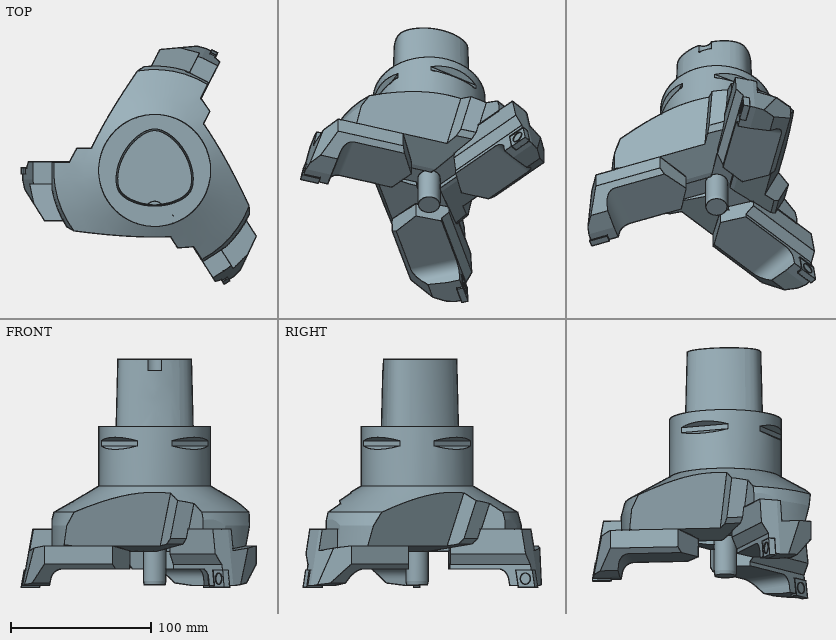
import cadquery as cq
import math

ARM_TURNS = (0.0, 122.6, 243.0)
FAR = 136.3

SHANK_BASE_Z = 115.0
SHANK_TOP_Z = 163.0
SHANK_BASE_RADIUS = 27.6
SHANK_TAPER = 0.025
LOBE_OFFSET = 2.0
LOBE_HALF_ANGLE = 32.0
LOBE_SPANS = 6
KEYWAY_RADIUS = 6.3
KEYWAY_Y = -28.3
KEYWAY_DEPTH = 8.0

FLANGE_RADIUS = 40.0
FLANGE_BASE_Z = 72.4
GROOVE_Z = 102.9
GROOVE_DISTANCE = 35.6
GROOVE_FLOOR_WIDTH = 3.5
GROOVE_SIDE_ANGLE = 30.0

SHOULDER_RADIUS = 72.0
SHOULDER_Z = 53.7
RIM_RADIUS = 74.6
RIM_Z = 44.0
SKIRT_RADIUS = 74.0
HUB_BASE_Z = 25.7
FLOOR_Z = 29.6
ARM_END_FLAT = 73.5

TRAILING_Y = -36.0
TRAILING_LEAN = math.tan(math.radians(17.0))
HUB_FLOOR_SLOPE = 0.17
STEP_OFFSET = 9.9
STEP_TURN = 121.5
STEP_CHAMFER_Z = 34.8
HUB_SIDE_Y = 16.0
NOTCH_Y = 5.8

PIN_DIAMETER = 16.0
PIN_BASE_Z = 1.7
PIN_CHAMFER_HEIGHT = 2.5
PIN_CHAMFER_WIDTH = 0.5

LEADING_Y = 6.3
RAIL_TOP_Z = 41.5
RAIL_BACK_Y = -9.5
LEDGE_SLOPE = 0.13
RELIEF_TOP_Z = 24.0
RELIEF_BASE_Z = 16.2
RELIEF_Y = 1.5
UNDERSIDE_Y = -22.0
UNDERSIDE_Z = 3.0
TOE_Z = 1.2
BEVEL_TOP_Z = 16.7
END_TOP_REACH = 87.0
END_LEAN = 0.18
END_CORNER_Y = -6.6
END_RELIEF = 0.19
CORNER_REACH = 78.7
CORNER_BEVEL = 0.63
INNER_SHOULDER = 30.2
INNER_TIP = 17.7
ARCH_TOP_Z = 13.1
ARCH_WALL = 75.3
ARCH_WALL_LEAN = 0.2
ARCH_RADIUS = 8.5

INSERT_FRONT_Y = 2.0
INSERT_THICKNESS = 4.8
INSERT_HEIGHT = 12.5
INSERT_WIDTH = 13.3
INSERT_TIP_REACH = 95.4
INSERT_LEAN = 0.17
SCREW_DIAMETER = 8.0


def turned(shape, angle):
    return shape.rotate((0, 0, 0), (0, 0, 1), angle)


def lobe_point(radius, degrees):
    """Point of the lobed outline whose outward normal has the given direction."""
    a = math.radians(degrees)
    support = radius - LOBE_OFFSET * math.sin(3 * a)
    slope = -3 * LOBE_OFFSET * math.cos(3 * a)
    return (
        support * math.cos(a) - slope * math.sin(a),
        support * math.sin(a) + slope * math.cos(a),
    )


def lobed_wire(radius, z):
    edges = []
    for lobe in (90, 210, 330):
        joints = (lobe - LOBE_HALF_ANGLE, lobe + LOBE_HALF_ANGLE, lobe + 120 - LOBE_HALF_ANGLE)
        for start, end in zip(joints, joints[1:]):
            step = (end - start) / LOBE_SPANS
            directions = [start + step * i for i in range(LOBE_SPANS + 1)]
            points = [cq.Vector(*lobe_point(radius, d), z) for d in directions]
            edges.append(cq.Edge.makeSpline(points))
    return cq.Wire.assembleEdges(edges)


def shank():
    top_radius = SHANK_BASE_RADIUS - SHANK_TAPER * (SHANK_TOP_Z - SHANK_BASE_Z)
    taper = cq.Solid.makeLoft(
        [lobed_wire(SHANK_BASE_RADIUS, SHANK_BASE_Z), lobed_wire(top_radius, SHANK_TOP_Z)], True
    )
    keyway = (
        cq.Workplane("XY", origin=(0, KEYWAY_Y, SHANK_TOP_Z - KEYWAY_DEPTH))
        .circle(KEYWAY_RADIUS)
        .extrude(KEYWAY_DEPTH)
    )
    return cq.Workplane(taper).cut(keyway)


def gripper_groove():
    depth = FLANGE_RADIUS - GROOVE_DISTANCE
    half_floor = GROOVE_FLOOR_WIDTH / 2
    half_mouth = half_floor + depth * math.tan(math.radians(GROOVE_SIDE_ANGLE))
    return (
        cq.Workplane("XZ", origin=(0, 0, GROOVE_Z))
        .polyline(
            [
                (GROOVE_DISTANCE, -half_floor),
                (FLANGE_RADIUS, -half_mouth),
                (FLANGE_RADIUS, half_mouth),
                (GROOVE_DISTANCE, half_floor),
            ]
        )
        .close()
        .extrude(FLANGE_RADIUS, both=True)
    )


def head():
    """Flange and head turned around the spindle axis."""
    return (
        cq.Workplane("XZ")
        .polyline(
            [
                (0, HUB_BASE_Z),
                (SKIRT_RADIUS, HUB_BASE_Z),
                (RIM_RADIUS, RIM_Z),
                (SHOULDER_RADIUS, SHOULDER_Z),
                (FLANGE_RADIUS, FLANGE_BASE_Z),
                (FLANGE_RADIUS, SHANK_BASE_Z),
                (0, SHANK_BASE_Z),
            ]
        )
        .close()
        .revolve(360, (0, 0, 0), (0, 1, 0))
    )


def trailing_y(z):
    return TRAILING_Y - TRAILING_LEAN * (z - FLOOR_Z)


def side_cut(outline, side_y, pitch):
    """Cut in front of a side face at side_y, bounded by a profile on the previous arm's trailing side."""
    prism = cq.Workplane("YZ").polyline(outline).close().extrude(FAR, both=True)
    before_side = cq.Workplane("XY").box(4 * FAR, 2 * FAR, FAR, (True, False, False))
    return turned(prism, -pitch).intersect(before_side.translate((0, side_y, 0)))


def chip_pocket(pitch):
    """Space on the leading side of an arm, up to the trailing face of the arm before it."""
    outline = [
        (trailing_y(FLOOR_Z), HUB_BASE_Z),
        (trailing_y(FLOOR_Z), FLOOR_Z),
        (trailing_y(FLANGE_BASE_Z), FLANGE_BASE_Z),
        (-FAR, FLANGE_BASE_Z),
        (-FAR, HUB_BASE_Z),
    ]
    return side_cut(outline, HUB_SIDE_Y, pitch)


def leading_notch():
    """Step beside the cartridge, with a chamfer at its foot."""
    foot_y = trailing_y(STEP_CHAMFER_Z) - STEP_OFFSET
    base_y = foot_y + STEP_CHAMFER_Z - FLOOR_Z
    outline = [
        (base_y, HUB_BASE_Z),
        (base_y, FLOOR_Z),
        (foot_y, STEP_CHAMFER_Z),
        (trailing_y(FLANGE_BASE_Z) - STEP_OFFSET, FLANGE_BASE_Z),
        (-FAR, FLANGE_BASE_Z),
        (-FAR, HUB_BASE_Z),
    ]
    return side_cut(outline, NOTCH_Y, STEP_TURN)


def ledge_z(y):
    return FLOOR_Z - LEDGE_SLOPE * (y - TRAILING_Y)


def cartridge_plan():
    """Vertical sides of a cartridge, from the pointed inner end to the outer corner bevel."""
    middle_y = (TRAILING_Y + LEADING_Y) / 2
    return [
        (-INNER_TIP, middle_y),
        (-INNER_SHOULDER, TRAILING_Y),
        (-CORNER_REACH, TRAILING_Y),
        (-CORNER_REACH - CORNER_BEVEL * (LEADING_Y - TRAILING_Y), LEADING_Y),
        (-INNER_SHOULDER, LEADING_Y),
    ]


def cartridge_column():
    return cq.Workplane("XY").polyline(cartridge_plan()).close().extrude(FLANGE_BASE_Z)


def hub_floor(pitch):
    """Sloping cut under the hub between an arm and the arm before it, clear of both cartridges."""
    start_y = TRAILING_Y + (FLOOR_Z - HUB_BASE_Z) / HUB_FLOOR_SLOPE
    end_y = -SKIRT_RADIUS
    wedge = (
        cq.Workplane("YZ")
        .polyline(
            [
                (start_y, HUB_BASE_Z),
                (end_y, HUB_BASE_Z + HUB_FLOOR_SLOPE * (start_y - end_y)),
                (end_y, HUB_BASE_Z),
            ]
        )
        .close()
        .extrude(FAR, both=True)
    )
    return turned(wedge.cut(cartridge_column()), -pitch).cut(cartridge_column())


def rail_slot():
    """Open end of the cartridge slot, from the inner end of the cartridge to the spindle axis."""
    return (
        cq.Workplane("XY", origin=(0, RAIL_BACK_Y, HUB_BASE_Z))
        .rect(-INNER_SHOULDER, NOTCH_Y - RAIL_BACK_Y, centered=False)
        .extrude(FLOOR_Z - HUB_BASE_Z)
    )


def arm_end_flat():
    return cq.Workplane("XY").box(FAR, FAR, FAR).translate((-ARM_END_FLAT - FAR / 2, 0, 0))


def end_outline(z):
    reach = END_TOP_REACH + END_LEAN * (RAIL_TOP_Z - z)
    return [
        (0, LEADING_Y),
        (-reach, LEADING_Y),
        (-reach, END_CORNER_Y),
        (-reach + END_RELIEF * (END_CORNER_Y - TRAILING_Y), TRAILING_Y),
        (0, TRAILING_Y),
    ]


def arch():
    """Round-cornered cut under the inner part of a cartridge."""
    wall_top = ARCH_WALL - ARCH_WALL_LEAN * ARCH_TOP_Z
    return (
        cq.Workplane("XZ")
        .polyline([(0, 0), (-ARCH_WALL, 0), (-wall_top, ARCH_TOP_Z), (0, ARCH_TOP_Z)])
        .close()
        .extrude(FAR, both=True)
        .edges("|Y")
        .edges(">Z")
        .edges("<X")
        .fillet(ARCH_RADIUS)
    )


def cutting_insert():
    outer_top = INSERT_TIP_REACH - INSERT_LEAN * INSERT_HEIGHT
    centre_reach = (INSERT_TIP_REACH + outer_top - INSERT_WIDTH) / 2
    blank = (
        cq.Workplane("XZ", origin=(0, INSERT_FRONT_Y, 0))
        .polyline(
            [
                (-INSERT_TIP_REACH, 0),
                (-outer_top, INSERT_HEIGHT),
                (-outer_top + INSERT_WIDTH, INSERT_HEIGHT),
                (-INSERT_TIP_REACH + INSERT_WIDTH, 0),
            ]
        )
        .close()
        .extrude(INSERT_THICKNESS)
    )
    hole = (
        cq.Workplane("XZ", origin=(-centre_reach, INSERT_FRONT_Y, INSERT_HEIGHT / 2))
        .circle(SCREW_DIAMETER / 2)
        .extrude(INSERT_THICKNESS)
    )
    return blank.cut(hole)


def cartridge():
    """Rail and toe of a cartridge, recessed for its insert around the screw stud."""
    toe_y = UNDERSIDE_Y + (UNDERSIDE_Z - TOE_Z) / LEDGE_SLOPE
    rail = (
        cq.Workplane("YZ")
        .polyline(
            [
                (RAIL_BACK_Y, RAIL_TOP_Z),
                (LEADING_Y, RAIL_TOP_Z),
                (LEADING_Y, RELIEF_TOP_Z),
                (RELIEF_Y, RELIEF_BASE_Z),
                (RELIEF_Y, TOE_Z),
                (toe_y, TOE_Z),
                (UNDERSIDE_Y, UNDERSIDE_Z),
                (TRAILING_Y, BEVEL_TOP_Z),
                (TRAILING_Y, FLOOR_Z),
                (RAIL_BACK_Y, ledge_z(RAIL_BACK_Y)),
            ]
        )
        .close()
        .extrude(-FAR)
    )
    end = (
        cq.Workplane("XY")
        .polyline(end_outline(0))
        .close()
        .workplane(offset=RAIL_TOP_Z)
        .polyline(end_outline(RAIL_TOP_Z))
        .close()
        .loft(ruled=True)
    )
    return rail.intersect(cartridge_column()).intersect(end).cut(arch()).cut(cutting_insert())


def pin():
    radius = PIN_DIAMETER / 2
    return (
        cq.Workplane("XZ")
        .polyline(
            [
                (0, PIN_BASE_Z),
                (radius - PIN_CHAMFER_WIDTH, PIN_BASE_Z),
                (radius, PIN_BASE_Z + PIN_CHAMFER_HEIGHT),
                (radius, FLOOR_Z),
                (0, FLOOR_Z),
            ]
        )
        .close()
        .revolve(360, (0, 0, 0), (0, 1, 0))
    )


def cutter_body():
    body = head().union(shank())
    for groove_turn in (45, 135, 225, 315):
        body = body.cut(turned(gripper_groove(), groove_turn))
    for i, turn in enumerate(ARM_TURNS):
        pitch = (turn - ARM_TURNS[i - 1]) % 360
        cutters = (
            chip_pocket(pitch),
            leading_notch(),
            hub_floor(pitch),
            rail_slot(),
            arm_end_flat(),
            cartridge(),
        )
        for cutter in cutters:
            body = body.cut(turned(cutter, turn))
    return body.union(pin())


body = cutter_body()
cartridges = [turned(cartridge(), turn) for turn in ARM_TURNS]
inserts = [turned(cutting_insert(), turn) for turn in ARM_TURNS]

result = cq.Compound.makeCompound([part.val() for part in (body, *cartridges, *inserts)])